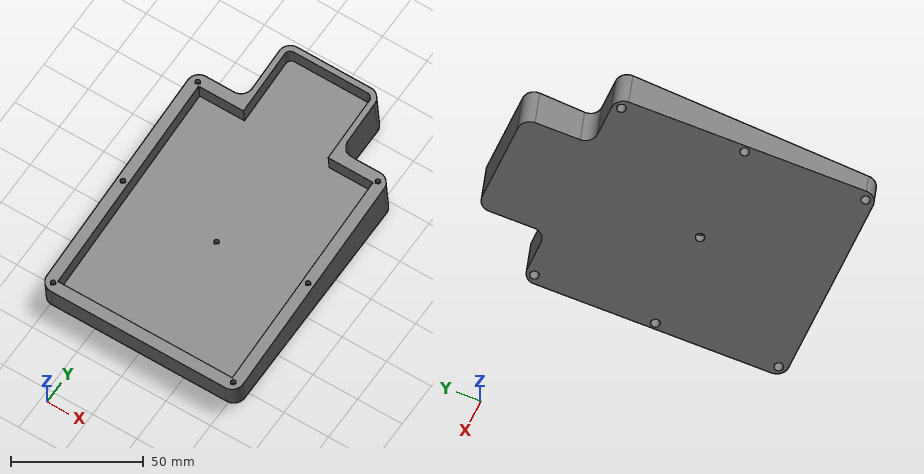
import cadquery as cq
import math

tilt = 5.0
overall_width = 88.2
overall_length = 137.2
overall_height = 22.8

body_length = 107.3
neck_width = 43.0
corner_radius = 5.0

body_wall = 5.0
neck_wall = 2.5
pocket_depth = 8.0

hole_diameter = 2.0
head_diameter = 3.5
screw_grip = 3.0
corner_hole_inset = 3.5
corner_hole_x = 40.5
side_hole_x = 41.6

tilt_angle = math.radians(tilt)
rim_run = overall_length - overall_height * math.tan(tilt_angle)
rim_length = rim_run / math.cos(tilt_angle)
front_height = overall_height - rim_run * math.tan(tilt_angle)
body_middle = body_length / 2
cut_depth = 2 * overall_height

rim_plane = cq.Plane(
    origin=(0, -overall_length / 2, front_height),
    xDir=(1, 0, 0),
    normal=(0, -math.sin(tilt_angle), math.cos(tilt_angle)),
)


def sunk_block(width, front, rear, depth):
    """Block centred on X, sunk from the rim between two distances up the slope."""
    return (
        cq.Workplane(rim_plane)
        .center(0, (front + rear) / 2)
        .rect(width, rear - front)
        .extrude(-depth)
    )


def make_tray():
    body = sunk_block(overall_width, 0, body_length, cut_depth)
    neck = sunk_block(neck_width, body_middle, rim_length, cut_depth)
    wall_edges = cq.selectors.ParallelDirSelector(rim_plane.zDir)
    return body.union(neck).edges(wall_edges).fillet(corner_radius)


def make_pocket():
    wall_edges = cq.selectors.ParallelDirSelector(rim_plane.zDir)
    neck = (
        sunk_block(neck_width - 2 * neck_wall, body_middle, rim_length - neck_wall, pocket_depth)
        .faces(">Y")
        .edges(wall_edges)
        .fillet(corner_radius - neck_wall)
    )
    body = sunk_block(
        overall_width - 2 * body_wall, body_wall, body_length - body_wall, pocket_depth
    )
    return body.union(neck)


def make_rods(points, diameter, start_depth):
    """Rods normal to the rim, running from a depth below it to past the base."""
    return (
        cq.Workplane(rim_plane)
        .workplane(offset=-start_depth)
        .pushPoints(points)
        .circle(diameter / 2)
        .extrude(-cut_depth)
    )


def make_screw_holes(points, mouth_depth):
    """Narrow holes that widen below the grip into recesses for the screw heads."""
    shanks = make_rods(points, hole_diameter, mouth_depth)
    heads = make_rods(points, head_diameter, mouth_depth + screw_grip)
    return shanks.union(heads)


rim_points = []
for side in (-1, 1):
    rim_points.append((side * corner_hole_x, corner_hole_inset))
    rim_points.append((side * side_hole_x, body_middle))
    rim_points.append((side * corner_hole_x, body_length - corner_hole_inset))
floor_points = [(0, body_middle)]

below_base = cq.Workplane("XY").box(
    2 * overall_width, 2 * overall_length, 2 * cut_depth, centered=(True, True, False)
).translate((0, 0, -2 * cut_depth))

result = make_tray().cut(make_pocket())
result = result.cut(make_screw_holes(rim_points, 0))
result = result.cut(make_screw_holes(floor_points, pocket_depth))
result = result.cut(below_base)